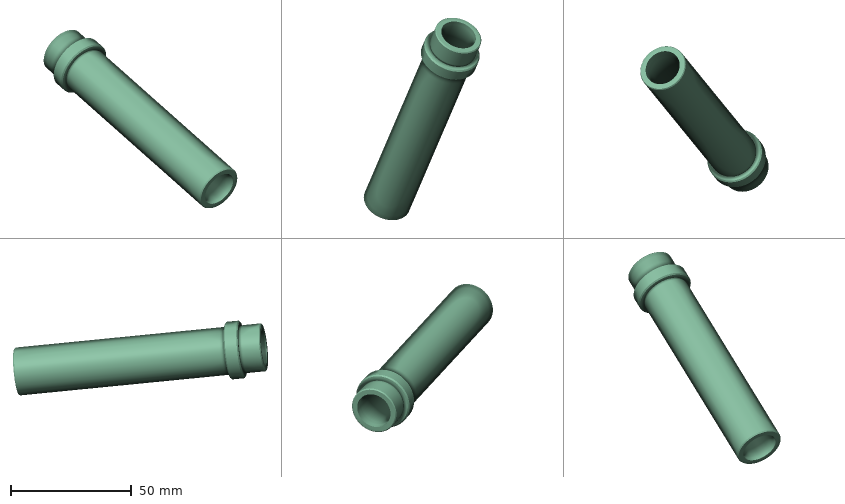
import cadquery as cq

length = 104.0
bore_radius = 15.0 / 2
barrel_radius = 20.0 / 2
collar_radius = 24.0 / 2

collar_start = 9.0
collar_width = 5.9
collar_end = collar_start + collar_width
collar_chamfer = 0.5

groove_width = 1.0
groove_depth = 0.3
groove_radius = barrel_radius - groove_depth

spigot_chamfer = 0.4
barrel_lead_in_length = 0.5
barrel_lead_in_depth = 0.3

wall_section = [
    (0, bore_radius),
    (0, barrel_radius - spigot_chamfer),
    (spigot_chamfer, barrel_radius),
    (collar_start - groove_width, barrel_radius),
    (collar_start, groove_radius),
    (collar_start, collar_radius - collar_chamfer),
    (collar_start + collar_chamfer, collar_radius),
    (collar_end - collar_chamfer, collar_radius),
    (collar_end, collar_radius - collar_chamfer),
    (collar_end, groove_radius),
    (collar_end + groove_width, barrel_radius),
    (length - barrel_lead_in_length, barrel_radius),
    (length, barrel_radius - barrel_lead_in_depth),
    (length, bore_radius),
]

result = cq.Workplane("XY").polyline(wall_section).close().revolve(360, (0, 0, 0), (1, 0, 0))